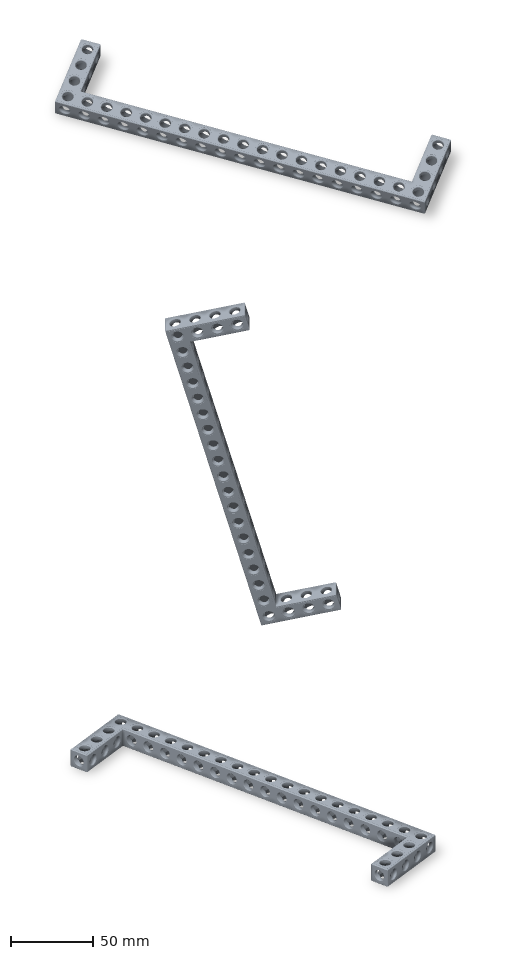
import cadquery as cq

overall_length = 237.5
holes_along_beam = 19
holes_along_leg = 4
hole_diameter = 7.0
edge_chamfer = 0.33
pad_hole_diameter = 9.3
pad_inset = 1.07
pad_thickness = 0.12

pitch = overall_length / holes_along_beam
leg_length = holes_along_leg * pitch
core_height = pitch - 2 * pad_thickness
half_pitch = pitch / 2

leg_columns = (0, holes_along_beam - 1)
beam_cells = [(column, 0) for column in range(holes_along_beam)]
leg_cells = [(column, row) for column in leg_columns for row in range(1, holes_along_leg)]


def hole_centre(index):
    return half_pitch + index * pitch


upright_centres = [(hole_centre(column), hole_centre(row)) for column, row in beam_cells + leg_cells]


def u_plate(inset, bottom, height):
    """U-shaped plate: a beam along X with a leg at each end pointing to +Y."""
    leg_end = leg_length - inset
    inner_edge = pitch - inset
    right = overall_length - inset
    inner_right = overall_length - inner_edge
    points = [
        (inset, inset),
        (right, inset),
        (right, leg_end),
        (inner_right, leg_end),
        (inner_right, inner_edge),
        (inner_edge, inner_edge),
        (inner_edge, leg_end),
        (inset, leg_end),
    ]
    return cq.Workplane("XY").workplane(offset=bottom).polyline(points).close().extrude(height)


def chamfered_core():
    """Full-width U with all edges broken except the two inner corners."""
    core = u_plate(0, pad_thickness, core_height)
    inner_corners = cq.selectors.BoxSelector(
        (half_pitch, half_pitch, pitch / 4),
        (overall_length - half_pitch, leg_length - half_pitch, pitch * 3 / 4),
    )
    return core.edges(-inner_corners).chamfer(edge_chamfer)


def hole_cutter(length):
    """Cutter from the origin along +Z: a through hole with a chamfered mouth at both ends."""
    bore_radius = hole_diameter / 2
    mouth_radius = bore_radius + edge_chamfer
    profile = [
        (0, 0),
        (mouth_radius, 0),
        (bore_radius, edge_chamfer),
        (bore_radius, length - edge_chamfer),
        (mouth_radius, length),
        (0, length),
    ]
    return cq.Workplane("XZ").polyline(profile).close().revolve(360, (0, 0), (0, 1))


def holes_along_z():
    cutter = hole_cutter(core_height).translate((0, 0, pad_thickness))
    return [cutter.translate((x, y, 0)) for x, y in upright_centres]


def holes_along_y():
    """One bar deep between the legs, and the full leg length at both ends."""
    cutters = []
    for column in range(holes_along_beam):
        depth = leg_length if column in leg_columns else pitch
        cutter = hole_cutter(depth).rotate((0, 0, 0), (1, 0, 0), -90)
        cutters.append(cutter.translate((hole_centre(column), 0, half_pitch)))
    return cutters


def holes_along_x():
    """The full length through the beam, and one bar deep through each leg."""
    beam_cutter = hole_cutter(overall_length).rotate((0, 0, 0), (0, 1, 0), 90)
    leg_cutter = hole_cutter(pitch).rotate((0, 0, 0), (0, 1, 0), 90)
    cutters = [beam_cutter.translate((0, half_pitch, half_pitch))]
    for column, row in leg_cells:
        cutters.append(leg_cutter.translate((column * pitch, hole_centre(row), half_pitch)))
    return cutters


def pad(bottom):
    """Thin raised layer on the core, set back from its edges and from its holes."""
    openings = (
        cq.Workplane("XY")
        .workplane(offset=bottom)
        .pushPoints(upright_centres)
        .circle(pad_hole_diameter / 2)
        .extrude(pad_thickness)
    )
    return u_plate(pad_inset, bottom, pad_thickness).cut(openings)


body = chamfered_core()
for cutter in holes_along_z() + holes_along_y() + holes_along_x():
    body = body.cut(cutter)

result = body.union(pad(0)).union(pad(pitch - pad_thickness))